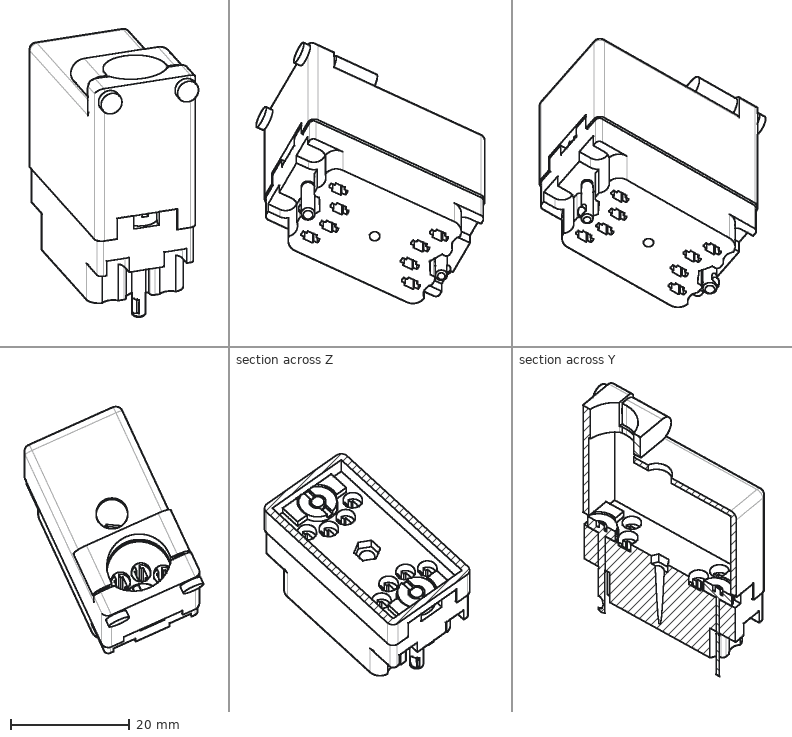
import cadquery as cq
import math


HOUSING_LENGTH = 33.7
HOUSING_WIDTH = 18.15
HOUSING_BOTTOM = 16.85
ROOF_TOP = 39.85
TOTAL_HEIGHT = 45.3
EDGE_RADIUS = 1.25
WALL = 1.35
TOWER_THICKNESS = 4.4
ROOF_HOLE_RADIUS = 2.65

TOWER_ARC_DEPTH = 2.8
TOWER_ARC_HALF_CHORD = 5.3
CLAMP_ARC_RADIUS = 5.5
CLAMP_STRAIGHT = 0.9

CLAMP_LENGTH = 7.85
CLAMP_HEIGHT = 4.8
CLAMP_GAP = 0.45
SCREW_SPACING = 13.85
SCREW_RADIUS = 1.05
SCREW_HEAD_RADIUS = 1.9
SCREW_HEAD_LENGTH = 1.22
SCREW_ENGAGEMENT = 3.62

FLANGE_LENGTH = 33.15
FLANGE_WIDTH = 17.4
FLANGE_TOP = 16.75
FLANGE_BOTTOM = 10.2
FLANGE_CORNER_RADIUS = 0.8
FOOT_LENGTH = 25.8
FOOT_BOTTOM = 3.4
FOOT_CORNER_RADIUS = 2.25
INSERT_TOP = 19.47
TAB_WIDTH = 10.95
TAB_DEPTH = 4.95
TAB_TOP = 20.7
GROOVE_RADIUS = 2.05
GROOVE_SPACING = 10.4
GROOVE_INSET = 2.25
GROOVE_TOP = 12.9
NOTCH_HALF_WIDTH = 2.17
NOTCH_SIDE_DEPTH = 1.2
NOTCH_DEPTH = 2.45
NOTCH_EDGE_RADIUS = 0.65

CONTACT_POSITIONS = [(7.7, 1.9), (9.6, 5.15)]
CONTACT_RADIUS = 1.65
CONTACT_POCKET_DEPTH = 1.8
CONTACT_SLOT_WIDTH = 0.8
CONTACT_BLOCK_LENGTH = 1.75
CONTACT_BLOCK_WIDTH = 1.65
NUT_ACROSS_FLATS = 3.95
NUT_POCKET_DEPTH = 1.8
CENTRE_HOLE_TOP_RADIUS = 1.3
CENTRE_HOLE_BOTTOM_RADIUS = 0.85

PIN_OFFSET = 12.73
LEFT_PIN_RADIUS = 1.0
RIGHT_PIN_RADIUS = 1.2
PIN_TIP_CHAMFER = 0.35
PIN_NECK_BOTTOM = 9.75
PIN_NECK_STEP = 0.05
PIN_HEAD_RADIUS = 3.2
PIN_HEAD_TOP = 20.45
PIN_HEAD_BOTTOM = 18.1
PIN_SLOT_WIDTH = 1.15
PIN_SLOT_DEPTH = 0.72
PIN_CORE_RADIUS = 1.1
PIN_BORE_RADIUS = 1.4
PIN_BORE_DEPTH = 1.2
HEAD_RECESS_RADIUS = 3.45
WINDOW_WIDTH = 4.6
LUG_CENTRE_HEIGHT = 2.15
LUG_HALF_WIDTH = 0.7
LUG_HALF_HEIGHT = 1.35
LUG_THICKNESS = 0.35
LUG_FACE_REACH = 0.1
LUG_SIDE_OFFSET = 0.9
LUG_FACE_ANGLE = 240.0

HOUSING_END = HOUSING_LENGTH / 2
TOWER_FACE = HOUSING_END - TOWER_THICKNESS
CLAMP_END = TOWER_FACE - CLAMP_GAP
CLAMP_START = CLAMP_END - CLAMP_LENGTH
CLAMP_BOTTOM = TOTAL_HEIGHT - CLAMP_HEIGHT
CLAMP_ARC_CENTRE = CLAMP_END - CLAMP_STRAIGHT
SCREW_HEIGHT = TOTAL_HEIGHT - CLAMP_HEIGHT / 2
SCREW_TIP = CLAMP_END - SCREW_ENGAGEMENT
CAVITY_LENGTH = HOUSING_LENGTH - 2 * WALL
CAVITY_WIDTH = HOUSING_WIDTH - 2 * WALL
FLANGE_END = FLANGE_LENGTH / 2
FOOT_END = FOOT_LENGTH / 2
SIDES = (-1, 1)


def block(x_min, x_max, width, z_min, z_max):
    """Box between two X and two Z limits, centred on Y = 0."""
    corner = cq.Vector(x_min, -width / 2, z_min)
    return cq.Workplane(cq.Solid.makeBox(x_max - x_min, width, z_max - z_min, corner))


def upright(x, y, radius, z_min, z_max):
    """Vertical cylinder between two heights."""
    return cq.Workplane("XY", origin=(x, y, z_min)).circle(radius).extrude(z_max - z_min)


def along_x(y, z, radius, x_min, x_max):
    """Cylinder parallel to X."""
    return cq.Workplane("YZ", origin=(x_min, y, z)).circle(radius).extrude(x_max - x_min)


def cable_opening(z_min, z_max):
    """Cable passage: half-round towards the clamp, shallow arc in the tower."""
    outline = (
        cq.Workplane("XY", origin=(0, 0, z_min))
        .moveTo(CLAMP_ARC_CENTRE, -CLAMP_ARC_RADIUS)
        .lineTo(CLAMP_END, -CLAMP_ARC_RADIUS)
        .lineTo(TOWER_FACE, -TOWER_ARC_HALF_CHORD)
        .threePointArc((TOWER_FACE + TOWER_ARC_DEPTH, 0), (TOWER_FACE, TOWER_ARC_HALF_CHORD))
        .lineTo(CLAMP_END, CLAMP_ARC_RADIUS)
        .lineTo(CLAMP_ARC_CENTRE, CLAMP_ARC_RADIUS)
        .threePointArc((CLAMP_ARC_CENTRE - CLAMP_ARC_RADIUS, 0), (CLAMP_ARC_CENTRE, -CLAMP_ARC_RADIUS))
        .close()
    )
    return outline.extrude(z_max - z_min)


def screw_envelope(side):
    """Shape of one clamp screw, also used to cut its hole."""
    y = side * SCREW_SPACING / 2
    shank = along_x(y, SCREW_HEIGHT, SCREW_RADIUS, SCREW_TIP, HOUSING_END)
    head = along_x(y, SCREW_HEIGHT, SCREW_HEAD_RADIUS, HOUSING_END, HOUSING_END + SCREW_HEAD_LENGTH)
    return shank.union(head)


def make_housing():
    shell = block(-HOUSING_END, HOUSING_END, HOUSING_WIDTH, HOUSING_BOTTOM, ROOF_TOP)
    shell = shell.edges("|Z").fillet(EDGE_RADIUS)
    shell = shell.faces(">Z").edges().fillet(EDGE_RADIUS)
    tower = block(TOWER_FACE, HOUSING_END, HOUSING_WIDTH, HOUSING_BOTTOM, TOTAL_HEIGHT)
    tower = tower.edges("|Z and >X").fillet(EDGE_RADIUS)
    bar = block(-HOUSING_END, HOUSING_END, HOUSING_WIDTH, HOUSING_BOTTOM, TOTAL_HEIGHT)
    tower = tower.intersect(bar.edges("|X and >Z").fillet(EDGE_RADIUS))
    housing = shell.union(tower)

    cavity = block(-CAVITY_LENGTH / 2, CAVITY_LENGTH / 2, CAVITY_WIDTH, HOUSING_BOTTOM, ROOF_TOP - WALL)
    housing = housing.cut(cavity)
    housing = housing.cut(block(-HOUSING_END, HOUSING_END, TAB_WIDTH, HOUSING_BOTTOM, TAB_TOP))
    housing = housing.cut(cable_opening(ROOF_TOP - WALL, TOTAL_HEIGHT))
    housing = housing.cut(upright(0, 0, ROOF_HOLE_RADIUS, ROOF_TOP - WALL, ROOF_TOP))
    for side in SIDES:
        housing = housing.cut(screw_envelope(side))
    return housing


def make_clamp():
    clamp = (
        cq.Workplane("YZ", origin=(CLAMP_START, 0, SCREW_HEIGHT))
        .slot2D(HOUSING_WIDTH, CLAMP_HEIGHT)
        .extrude(CLAMP_LENGTH)
    )
    clamp = clamp.cut(cable_opening(CLAMP_BOTTOM, TOTAL_HEIGHT))
    for side in SIDES:
        clamp = clamp.cut(screw_envelope(side))
    return clamp


def make_foot():
    """Lower part of the base with a V-bottomed notch around each guide pin."""
    shoulder = FOOT_END - NOTCH_SIDE_DEPTH
    apex = FOOT_END - NOTCH_DEPTH
    height = FLANGE_BOTTOM - FOOT_BOTTOM
    foot = block(-FOOT_END, FOOT_END, FLANGE_WIDTH, FOOT_BOTTOM, FLANGE_BOTTOM)
    foot = foot.edges("|Z").fillet(FOOT_CORNER_RADIUS)
    for side in SIDES:
        notch = (
            cq.Workplane("XY", origin=(0, 0, FOOT_BOTTOM))
            .polyline([
                (side * FOOT_END, -NOTCH_HALF_WIDTH),
                (side * shoulder, -NOTCH_HALF_WIDTH),
                (side * apex, 0),
                (side * shoulder, NOTCH_HALF_WIDTH),
                (side * FOOT_END, NOTCH_HALF_WIDTH),
            ])
            .close()
            .extrude(height)
        )
        foot = foot.cut(notch)
    for side in SIDES:
        for y in (-NOTCH_HALF_WIDTH, NOTCH_HALF_WIDTH):
            mouth_edge = cq.selectors.NearestToPointSelector((side * FOOT_END, y, FOOT_BOTTOM + height / 2))
            foot = foot.edges(mouth_edge).fillet(NOTCH_EDGE_RADIUS)
    return foot


def contact_opening(x, y):
    """Round contact pocket with a cross-shaped passage below it."""
    pocket = upright(x, y, CONTACT_RADIUS, INSERT_TOP - CONTACT_POCKET_DEPTH, INSERT_TOP)
    floor = cq.Workplane("XY", origin=(x, y, FOOT_BOTTOM))
    depth = INSERT_TOP - FOOT_BOTTOM
    bar = floor.rect(2 * CONTACT_RADIUS, CONTACT_SLOT_WIDTH).extrude(depth)
    bar = bar.intersect(upright(x, y, CONTACT_RADIUS, FOOT_BOTTOM, INSERT_TOP))
    middle = floor.rect(CONTACT_BLOCK_LENGTH, CONTACT_BLOCK_WIDTH).extrude(depth)
    return pocket.union(bar).union(middle)


def centre_opening():
    """Hexagonal nut pocket above a tapered hole."""
    pocket_floor = INSERT_TOP - NUT_POCKET_DEPTH
    corner_diameter = NUT_ACROSS_FLATS / math.cos(math.pi / 6)
    pocket_plane = cq.Workplane("XY", origin=(0, 0, pocket_floor))
    pocket = pocket_plane.polygon(6, corner_diameter).extrude(NUT_POCKET_DEPTH)
    taper = (
        cq.Workplane("XY", origin=(0, 0, FOOT_BOTTOM))
        .circle(CENTRE_HOLE_BOTTOM_RADIUS)
        .workplane(offset=pocket_floor - FOOT_BOTTOM)
        .circle(CENTRE_HOLE_TOP_RADIUS)
        .loft()
    )
    return pocket.union(taper)


def end_groove(end, side):
    """Half-round vertical groove open through the end of the base."""
    y = side * GROOVE_SPACING / 2
    groove_x = FLANGE_END - GROOVE_INSET
    groove = upright(groove_x, y, GROOVE_RADIUS, FOOT_BOTTOM, GROOVE_TOP)
    mouth = block(groove_x, FLANGE_END, 2 * GROOVE_RADIUS, FOOT_BOTTOM, GROOVE_TOP)
    groove = groove.union(mouth.translate((0, y, 0)))
    return groove if end > 0 else groove.mirror("YZ")


def make_base():
    base = block(-FLANGE_END, FLANGE_END, FLANGE_WIDTH, FLANGE_BOTTOM, FLANGE_TOP)
    base = base.edges("|Z").fillet(FLANGE_CORNER_RADIUS)
    base = base.union(make_foot())
    base = base.union(block(-CAVITY_LENGTH / 2, CAVITY_LENGTH / 2, CAVITY_WIDTH, FLANGE_TOP, INSERT_TOP))
    for end in SIDES:
        tab_limits = sorted((end * FLANGE_END, end * (FLANGE_END - TAB_DEPTH)))
        base = base.union(block(*tab_limits, TAB_WIDTH, FLANGE_TOP, TAB_TOP))
    base = base.cut(centre_opening())
    for end in SIDES:
        pin_x = end * PIN_OFFSET
        window_limits = sorted((pin_x, end * FLANGE_END))
        base = base.cut(upright(pin_x, 0, HEAD_RECESS_RADIUS, PIN_HEAD_BOTTOM, TAB_TOP))
        base = base.cut(block(*window_limits, WINDOW_WIDTH, PIN_HEAD_BOTTOM, TAB_TOP))
        for side in SIDES:
            base = base.cut(end_groove(end, side))
            for x, y in CONTACT_POSITIONS:
                base = base.cut(contact_opening(end * x, side * y))
    base = base.cut(pin_shank(-PIN_OFFSET, LEFT_PIN_RADIUS))
    return base.cut(pin_shank(PIN_OFFSET, RIGHT_PIN_RADIUS))


def pin_shank(x, radius):
    """Shank with a chamfered tip and a slightly thinner upper part."""
    lower = upright(x, 0, radius, 0, PIN_NECK_BOTTOM).faces("<Z").chamfer(PIN_TIP_CHAMFER)
    return lower.union(upright(x, 0, radius - PIN_NECK_STEP, PIN_NECK_BOTTOM, PIN_HEAD_BOTTOM))


def lug_outline(x, side, reach):
    """Upright ellipse beside a pin, facing LUG_FACE_ANGLE at a distance from the pin axis."""
    angle = math.radians(LUG_FACE_ANGLE)
    normal = cq.Vector(math.cos(angle), math.sin(angle), 0)
    sideways = cq.Vector(-math.sin(angle), math.cos(angle), 0)
    centre = cq.Vector(x, 0, LUG_CENTRE_HEIGHT) + sideways * (side * LUG_SIDE_OFFSET) + normal * reach
    return cq.Workplane(cq.Plane(centre, sideways, normal)).ellipse(LUG_HALF_WIDTH, LUG_HALF_HEIGHT)


def pin_head(x):
    """Slotted head with a ring-shaped bore around its core."""
    head = upright(x, 0, PIN_HEAD_RADIUS, PIN_HEAD_BOTTOM, PIN_HEAD_TOP)
    slot_bottom = PIN_HEAD_TOP - PIN_SLOT_DEPTH
    bore_bottom = PIN_HEAD_TOP - PIN_BORE_DEPTH
    slot = block(x - PIN_HEAD_RADIUS, x + PIN_HEAD_RADIUS, PIN_SLOT_WIDTH, slot_bottom, PIN_HEAD_TOP)
    bore = upright(x, 0, PIN_BORE_RADIUS, bore_bottom, PIN_HEAD_TOP)
    core = upright(x, 0, PIN_CORE_RADIUS, bore_bottom, PIN_HEAD_TOP)
    return head.cut(slot).cut(bore).union(core)


def make_guide_pin(side, radius):
    """Guide pin with a keying lug on its outer side, set at the bottom of an elliptical pocket."""
    x = side * PIN_OFFSET
    lug = lug_outline(x, side, LUG_FACE_REACH - LUG_THICKNESS).extrude(LUG_THICKNESS)
    pocket = lug_outline(x, side, LUG_FACE_REACH).extrude(2 * radius)
    return pin_shank(x, radius).union(pin_head(x)).union(lug).cut(pocket)


housing = make_housing()
clamp = make_clamp()
base = make_base()
clamp_screws = [screw_envelope(side) for side in SIDES]
guide_pins = [make_guide_pin(-1, LEFT_PIN_RADIUS), make_guide_pin(1, RIGHT_PIN_RADIUS)]

result = cq.Compound.makeCompound([
    housing.val(),
    clamp.val(),
    base.val(),
    *[screw.val() for screw in clamp_screws],
    *[pin.val() for pin in guide_pins],
])